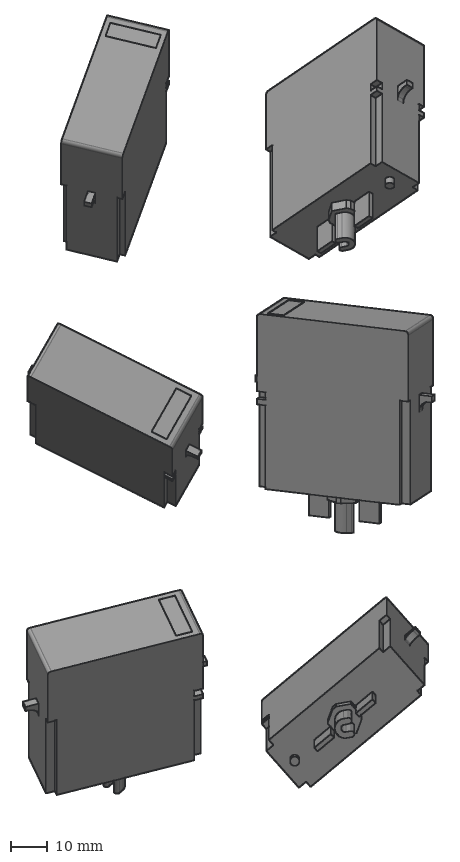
import cadquery as cq
import math

width = 17.5
depth = 44.9
overall_height = 61.3
housing_bottom = 11.8
top_edge_radius = 1.0

label_width = 14.35
label_length = 4.65
label_center_y = 17.5
label_recess = 0.1

notch_depth_y = 2.6
front_notch_depth_x = 1.55
back_notch_depth_x = 1.9
front_notch_top = 41.4
back_window_top = 39.3
back_tab_top = 37.15
back_tab_bottom = 35.55

overall_depth = 52.4
latch_width = 2.15
latch_top = 41.25
latch_lip_bottom = 39.55
latch_lip_length = 0.8
latch_curve_radius = 3.0
latch_heel_reach = 0.2
latch_heel_bottom = 36.5

flange_bottom = 8.9
flange_across_flats = 8.4
flange_corner_reach = 4.5
flange_cut_corner_angles = (-60, 60, 180)

contact_outer_radius = 2.75
contact_inner_radius = 1.05
contact_arm_length = 1.35
contact_opening_angle = -60.0

blade_thickness = 1.35
blade_length = 5.95
blade_center_y = 7.5
blade_bottom = 3.25
pin_diameter = 2.6
pin_y = 18.1
pin_bottom = 9.7


def centered_box(size_x, size_y, bottom, top, center=(0, 0)):
    """Box centred on a point in plan, between two heights."""
    box = cq.Workplane("XY").box(size_x, size_y, top - bottom, centered=(True, True, False))
    return box.translate((center[0], center[1], bottom))


def make_housing():
    """Block with rounded front and back top edges and a shallow label recess."""
    block = centered_box(width, depth, housing_bottom, overall_height)
    block = block.edges(">Z and |X").fillet(top_edge_radius)
    recess = centered_box(
        label_width, label_length, overall_height - label_recess, overall_height, (0, label_center_y)
    )
    return block.cut(recess)


def corner_notches(depth_x, side_y, bottom, top):
    """Pair of notch cutters on the left and right edges; side_y is -1 for front, 1 for back."""
    cutters = cq.Workplane("XY")
    for side_x in (-1, 1):
        center = (side_x * width / 2, side_y * depth / 2)
        cutters = cutters.add(centered_box(2 * depth_x, 2 * notch_depth_y, bottom, top, center))
    return cutters.combine()


def make_latch():
    """Front latch: a lip whose underside curves down to a thin heel on the housing face."""
    face = -depth / 2
    tip = -overall_depth / 2
    curve_start = tip + latch_lip_length
    heel = face - latch_heel_reach
    curve_center_z = latch_lip_bottom - latch_curve_radius
    curve_end_angle = math.acos((heel - curve_start) / latch_curve_radius)
    curve_mid_angle = (math.pi / 2 + curve_end_angle) / 2
    curve_mid = (
        curve_start + latch_curve_radius * math.cos(curve_mid_angle),
        curve_center_z + latch_curve_radius * math.sin(curve_mid_angle),
    )
    curve_end = (heel, curve_center_z + latch_curve_radius * math.sin(curve_end_angle))
    return (
        cq.Workplane("YZ")
        .moveTo(face, latch_top)
        .lineTo(tip, latch_top)
        .lineTo(tip, latch_lip_bottom)
        .lineTo(curve_start, latch_lip_bottom)
        .threePointArc(curve_mid, curve_end)
        .lineTo(face, latch_heel_bottom)
        .close()
        .extrude(latch_width / 2, both=True)
    )


def make_flange():
    """Hexagon with corners along X; every second corner, starting at -X, is cut flat."""
    height = housing_bottom - flange_bottom
    across_corners = flange_across_flats / math.cos(math.pi / 6)
    flange = cq.Workplane("XY").workplane(offset=flange_bottom).polygon(6, across_corners).extrude(height)
    corner_cutter = centered_box(
        across_corners,
        across_corners,
        flange_bottom,
        housing_bottom,
        (flange_corner_reach + across_corners / 2, 0),
    )
    for angle in flange_cut_corner_angles:
        flange = flange.cut(corner_cutter.rotate((0, 0, 0), (0, 0, 1), angle))
    return flange


def make_contact():
    """U-shaped bar with rounded arm ends, opening toward contact_opening_angle."""
    arm_thickness = contact_outer_radius - contact_inner_radius
    arm_end = contact_arm_length + arm_thickness / 2
    arm_middle = (contact_outer_radius + contact_inner_radius) / 2
    contact = (
        cq.Workplane("XY")
        .moveTo(contact_arm_length, contact_outer_radius)
        .lineTo(0, contact_outer_radius)
        .threePointArc((-contact_outer_radius, 0), (0, -contact_outer_radius))
        .lineTo(contact_arm_length, -contact_outer_radius)
        .threePointArc((arm_end, -arm_middle), (contact_arm_length, -contact_inner_radius))
        .lineTo(0, -contact_inner_radius)
        .threePointArc((-contact_inner_radius, 0), (0, contact_inner_radius))
        .lineTo(contact_arm_length, contact_inner_radius)
        .threePointArc((arm_end, arm_middle), (contact_arm_length, contact_outer_radius))
        .close()
        .extrude(flange_bottom)
    )
    return contact.rotate((0, 0, 0), (0, 0, 1), contact_opening_angle)


def make_pin():
    """Round locating pin near the back of the underside."""
    pin = cq.Workplane("XY").circle(pin_diameter / 2).extrude(housing_bottom - pin_bottom)
    return pin.translate((0, pin_y, pin_bottom))


result = make_housing()
result = result.cut(corner_notches(front_notch_depth_x, -1, housing_bottom, front_notch_top))
result = result.cut(corner_notches(back_notch_depth_x, 1, housing_bottom, back_tab_bottom))
result = result.cut(corner_notches(back_notch_depth_x, 1, back_tab_top, back_window_top))

front_latch = make_latch()
result = result.union(front_latch).union(front_latch.mirror("XZ"))

result = result.union(make_flange()).union(make_contact()).union(make_pin())
for blade_side in (-1, 1):
    blade = centered_box(
        blade_thickness, blade_length, blade_bottom, housing_bottom, (0, blade_side * blade_center_y)
    )
    result = result.union(blade)